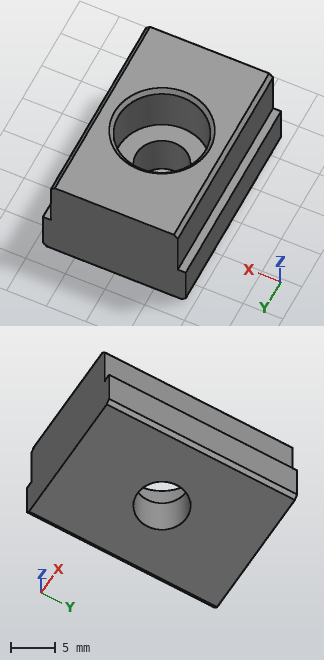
import cadquery as cq

length = 25.0
base_width = 18.0
height = 12.0

upper_width = 16.0
step_height = 5.5

chamfer_width = 0.5
chamfer_height = 0.5

hole_diameter = 6.5
bore_diameter = 11.0
bore_depth = 6.5
bore_chamfer = 0.5


def make_body():
    """Stepped profile with chamfered top and bottom edges, extruded along Y."""
    half_base = base_width / 2
    half_upper = upper_width / 2
    right_side = [
        (half_base - chamfer_width, 0),
        (half_base, chamfer_height),
        (half_base, step_height),
        (half_upper, step_height),
        (half_upper, height - chamfer_height),
        (half_upper - chamfer_width, height),
    ]
    left_side = [(-x, z) for x, z in reversed(right_side)]
    profile = cq.Workplane("XZ").polyline(right_side + left_side).close()
    return profile.extrude(length / 2, both=True)


def make_hole_cutter():
    """Revolved cutter: through hole, counterbore and its conical mouth."""
    hole_radius = hole_diameter / 2
    bore_radius = bore_diameter / 2
    bore_floor = height - bore_depth
    half_section = [
        (0, 0),
        (hole_radius, 0),
        (hole_radius, bore_floor),
        (bore_radius, bore_floor),
        (bore_radius, height - bore_chamfer),
        (bore_radius + bore_chamfer, height),
        (0, height),
    ]
    profile = cq.Workplane("XZ").polyline(half_section).close()
    return profile.revolve(360, (0, 0, 0), (0, 1, 0))


result = make_body().cut(make_hole_cutter())